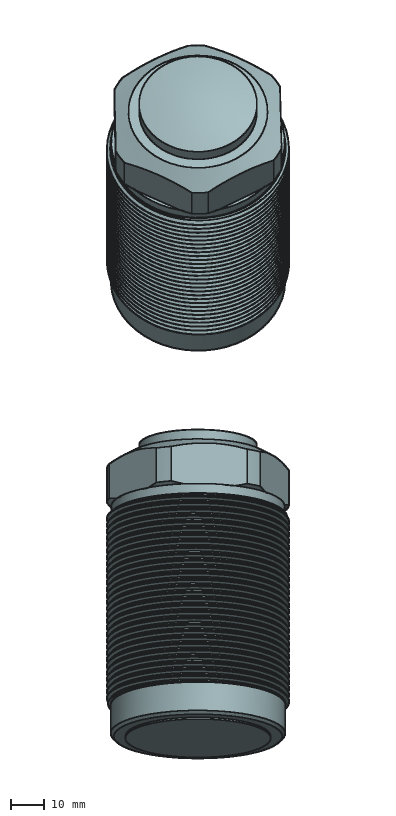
import cadquery as cq
import math

total_height = 94.1
thread_diameter = 55.1
thread_radius = thread_diameter / 2
chamfer_slope = math.tan(math.radians(30))

foot_radius = 21.9
foot_height = 0.6
base_radius = 26.35
base_chamfer = 0.9

thread_bottom = 10.35
thread_span = 59.1
thread_turns = 29.5
thread_pitch = thread_span / thread_turns
thread_top = thread_bottom + thread_span
thread_crest = thread_pitch / 8
thread_root = thread_pitch / 4
thread_half_angle = math.radians(30)
thread_depth = (thread_pitch - thread_crest - thread_root) / 2 / math.tan(thread_half_angle)
thread_root_radius = thread_radius - thread_depth
first_crest = 11.1
end_chamfer = 1.1
ridge_embed = 0.1
trim_clearance = 0.5

undercut_radius = 26.2

hex_bottom = 72.5
hex_top = 87.8
hex_sides = 6
hex_across_flats = 50.0
hex_across_corners = hex_across_flats / math.cos(math.pi / hex_sides)
hex_face_radius = 21.0

piston_radius = 17.8
piston_edge_height = 3.9


def make_core():
    """Turned core of the housing: foot, base, thread root cylinder and undercut."""
    return (
        cq.Workplane("XZ")
        .moveTo(0, 0)
        .lineTo(foot_radius, 0)
        .lineTo(foot_radius, foot_height)
        .lineTo(base_radius - base_chamfer, foot_height)
        .lineTo(base_radius, foot_height + base_chamfer)
        .lineTo(base_radius, thread_bottom)
        .lineTo(thread_root_radius, thread_bottom)
        .lineTo(thread_root_radius, thread_top)
        .lineTo(undercut_radius, thread_top)
        .lineTo(undercut_radius, hex_bottom)
        .lineTo(0, hex_bottom)
        .close()
        .revolve(360, (0, 0, 0), (0, 1, 0))
    )


def make_thread_ridge():
    """Helical ridge that sinks slightly into the core, trimmed to the chamfered thread length."""
    inner_radius = thread_root_radius - ridge_embed
    start = first_crest - thread_pitch
    inner_half = thread_crest / 2 + (thread_depth + ridge_embed) * math.tan(thread_half_angle)
    helix = cq.Wire.makeHelix(
        thread_pitch,
        thread_span + 2 * thread_pitch,
        inner_radius,
        center=cq.Vector(0, 0, start),
        lefthand=True,
    )
    ridge = (
        cq.Workplane("XZ")
        .moveTo(inner_radius, start - inner_half)
        .lineTo(thread_radius, start - thread_crest / 2)
        .lineTo(thread_radius, start + thread_crest / 2)
        .lineTo(inner_radius, start + inner_half)
        .close()
        .sweep(cq.Workplane(helix), isFrenet=True)
    )
    end_radius = thread_radius - end_chamfer
    outer_radius = thread_radius + trim_clearance
    end_rise = (outer_radius - end_radius) * chamfer_slope
    envelope = (
        cq.Workplane("XZ")
        .moveTo(0, thread_bottom)
        .lineTo(end_radius, thread_bottom)
        .lineTo(outer_radius, thread_bottom + end_rise)
        .lineTo(outer_radius, thread_top - end_rise)
        .lineTo(end_radius, thread_top)
        .lineTo(0, thread_top)
        .close()
        .revolve(360, (0, 0, 0), (0, 1, 0))
    )
    return ridge.intersect(envelope)


def make_hex_head():
    """Hexagon trimmed by a turned envelope with 30 degree chamfers."""
    top_drop = (thread_radius - hex_face_radius) * chamfer_slope
    bottom_rise = (thread_radius - undercut_radius) * chamfer_slope
    hexagon = (
        cq.Workplane("XY", origin=(0, 0, hex_bottom))
        .polygon(hex_sides, hex_across_corners)
        .extrude(hex_top - hex_bottom)
    )
    envelope = (
        cq.Workplane("XZ")
        .moveTo(0, hex_bottom)
        .lineTo(undercut_radius, hex_bottom)
        .lineTo(thread_radius, hex_bottom + bottom_rise)
        .lineTo(thread_radius, hex_top - top_drop)
        .lineTo(hex_face_radius, hex_top)
        .lineTo(0, hex_top)
        .close()
        .revolve(360, (0, 0, 0), (0, 1, 0))
    )
    return hexagon.intersect(envelope)


def make_piston():
    """Round piston head with a spherical crown, resting on the hexagon's top face."""
    edge_top = hex_top + piston_edge_height
    crown_height = total_height - edge_top
    crown_radius = (piston_radius**2 + crown_height**2) / (2 * crown_height)
    crown_angle = math.asin(piston_radius / crown_radius) / 2
    crown_mid = (
        crown_radius * math.sin(crown_angle),
        total_height - crown_radius * (1 - math.cos(crown_angle)),
    )
    return (
        cq.Workplane("XZ")
        .moveTo(0, hex_top)
        .lineTo(piston_radius, hex_top)
        .lineTo(piston_radius, edge_top)
        .threePointArc(crown_mid, (0, total_height))
        .close()
        .revolve(360, (0, 0, 0), (0, 1, 0))
    )


housing = make_core().union(make_thread_ridge(), clean=False).union(make_hex_head(), clean=False)
piston = make_piston()

result = cq.Compound.makeCompound([housing.val(), piston.val()])